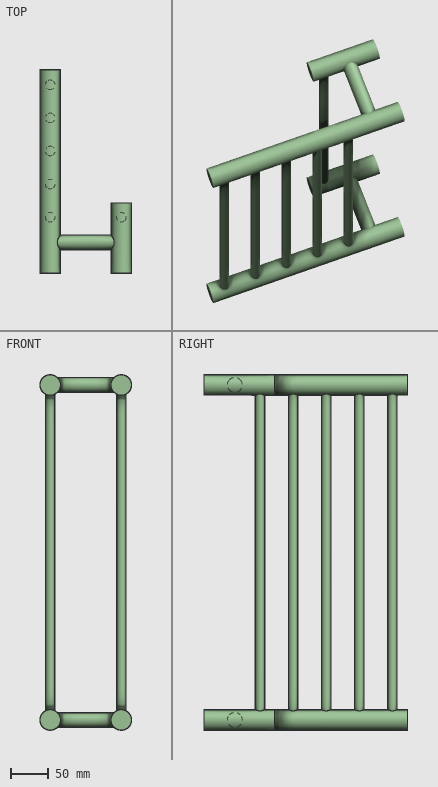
import cadquery as cq

HEIGHT = 480.0
RAIL_DIAMETER = 28.0
RAIL_SPACING = 96.0
LONG_RAIL_LENGTH = 275.0
SHORT_RAIL_LENGTH = 95.0
BAR_DIAMETER = 13.0
BAR_COUNT = 5
BAR_PITCH = 44.5
REAR_BAR_OFFSET = 20.5
LINK_DIAMETER = 20.0
LINK_OFFSET = 42.0

LONG_RAIL_X = -RAIL_SPACING / 2
SHORT_RAIL_X = RAIL_SPACING / 2
RAIL_Z = (HEIGHT - RAIL_DIAMETER) / 2
FRONT_Y = -LONG_RAIL_LENGTH / 2
REAR_BAR_Y = LONG_RAIL_LENGTH / 2 - REAR_BAR_OFFSET
BAR_YS = [REAR_BAR_Y - step * BAR_PITCH for step in range(BAR_COUNT)]


def rod(start, direction, length, diameter):
    """Solid round rod from a start point along a direction."""
    return cq.Workplane(
        cq.Solid.makeCylinder(diameter / 2, length, cq.Vector(*start), cq.Vector(*direction))
    )


def rail(x, z, length):
    """Rail running back along Y from the common front end."""
    return rod((x, FRONT_Y, z), (0, 1, 0), length, RAIL_DIAMETER)


def link(z):
    """Crosswise rod joining the axes of a long and a short rail."""
    return rod((LONG_RAIL_X, FRONT_Y + LINK_OFFSET, z), (1, 0, 0), RAIL_SPACING, LINK_DIAMETER)


def upright_bar(x, y):
    """Vertical bar joining the axes of a lower and an upper rail."""
    return rod((x, y, -RAIL_Z), (0, 0, 1), 2 * RAIL_Z, BAR_DIAMETER)


parts = []
for z in (-RAIL_Z, RAIL_Z):
    parts.append(rail(LONG_RAIL_X, z, LONG_RAIL_LENGTH))
    parts.append(rail(SHORT_RAIL_X, z, SHORT_RAIL_LENGTH))
    parts.append(link(z))

for y in BAR_YS:
    parts.append(upright_bar(LONG_RAIL_X, y))

parts.append(upright_bar(SHORT_RAIL_X, BAR_YS[-1]))

result = parts[0]
for part in parts[1:]:
    result = result.union(part)